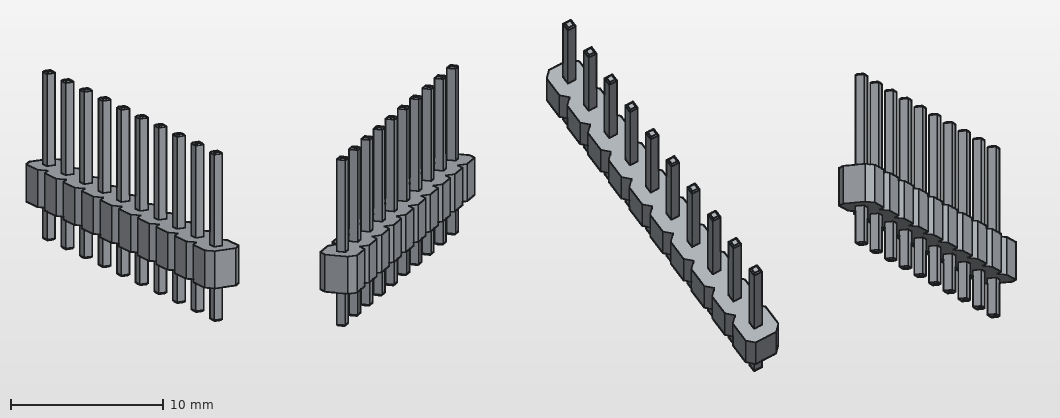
import cadquery as cq

pin_count = 10
pitch = 2.55
body_height = 2.55
corner_cut = 0.48
pin_width = 0.6
pin_above = 6.35
pin_below = 2.55
tip_chamfer = 0.1

pin_length = pin_below + body_height + pin_above
row_start = -pitch * (pin_count - 1) / 2
pin_positions = [(row_start + i * pitch, 0) for i in range(pin_count)]


def make_body():
    """Blocks with cut vertical corners, joined side by side and centred along X."""
    block = (
        cq.Workplane("XY")
        .box(pitch, pitch, body_height, centered=(True, True, False))
        .edges("|Z")
        .chamfer(corner_cut)
    )
    body = block.translate((*pin_positions[0], 0))
    for x, y in pin_positions[1:]:
        body = body.union(block.translate((x, y, 0)))
    return body.clean()


def make_pin():
    """Square pin with chamfered tips, running through the full height."""
    return (
        cq.Workplane("XY")
        .box(pin_width, pin_width, pin_length, centered=(True, True, False))
        .faces("<Z or >Z")
        .chamfer(tip_chamfer)
        .translate((0, 0, -pin_below))
    )


result = make_body()
pin = make_pin()
for x, y in pin_positions:
    result = result.union(pin.translate((x, y, 0)))